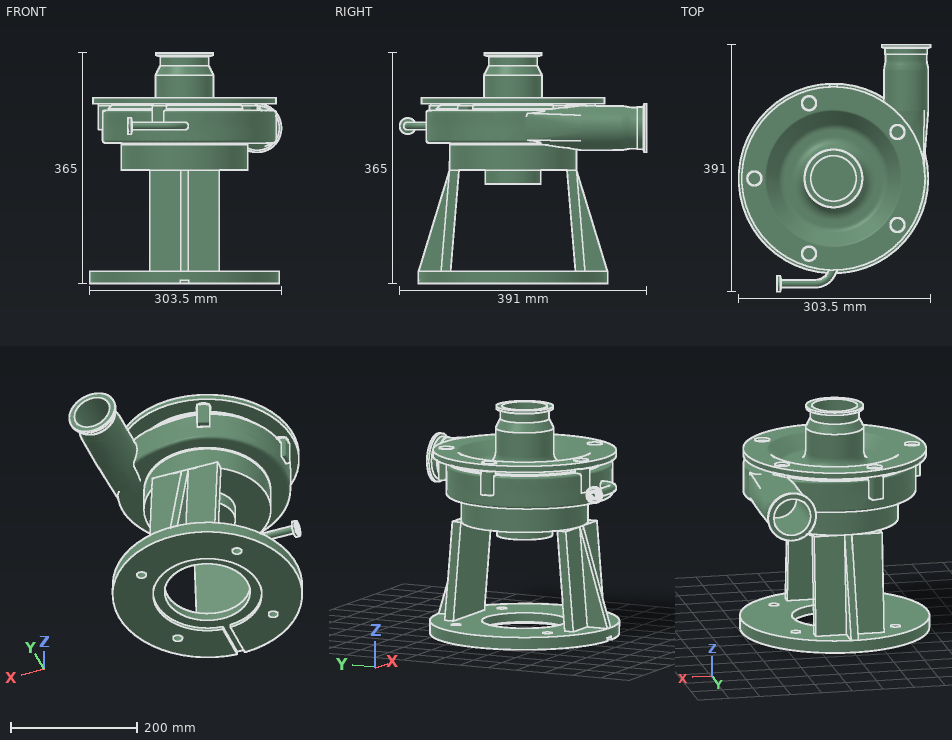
import cadquery as cq
import math

BASE_RADIUS = 150.0
BASE_THICKNESS = 20.0
BASE_BORE_RADIUS = 67.5
BASE_HOLE_RADIUS = 7.5
BASE_HOLE_CIRCLE_RADIUS = 114.0
BASE_HOLE_COUNT = 4
BASE_HOLE_START_ANGLE = 45
SLOT_WIDTH = 13.0
BASE_RECESS_RADIUS = 86.0
BASE_RECESS_DEPTH = 5.5

LEG_TOP_Z = 179.7
LEG_WIDTH = 110.0
LEG_THICKNESS = 15.2
LEG_OUTER_TOP_Y = 100.5
LEG_OUTER_BOTTOM_Y = 113.5
RIB_THICKNESS = 11.7
RIB_FOOT_Y = 149.2

DRUM_RADIUS = LEG_OUTER_TOP_Y
DRUM_TOP_Z = 219.5
NECK_RADIUS = 99.5
BOSS_RADIUS = 44.0
BOSS_BOTTOM_Z = 157.5

CASING_BOTTOM_Z = 222.5
CASING_TOP_Z = 274.0
CASING_START_RADIUS = 122.0
CASING_END_RADIUS = 145.0
CASING_START_ANGLE = 90
CASING_END_ANGLE = 360
CASING_TOP_FILLET = 3.5
CASING_BOTTOM_FILLET = 4.5
SPIRAL_SPANS = 12

SHOULDER_RADIUS = 121.0
SHOULDER_STEP_Z = 276.2
SHOULDER_CONE_TOP_RADIUS = 115.3
SHOULDER_CONE_TOP_Z = 282.0

COVER_RADIUS = 145.0
COVER_BOTTOM_Z = 284.5
COVER_THICKNESS = 9.8
COVER_TOP_Z = COVER_BOTTOM_Z + COVER_THICKNESS
DISH_RIM_FILLET = 4.3
DISH_FLOOR_FILLET = 13.5
DISH_RIM_RADIUS = 109.0
DISH_FLOOR_RADIUS = 77.0
DISH_FLOOR_Z = 270.0
HUB_FILLET = 20.0

BOLT_COUNT = 5
BOLT_CIRCLE_RADIUS = 125.0
BOLT_START_ANGLE = 180
BOLT_RECESS_RADIUS = 11.7
BOLT_RECESS_FLOOR_RADIUS = 10.5
BOLT_RECESS_DEPTH = 4.0
SPACER_RADIUS = 11.5
LUG_WIDTH = 20.0
LUG_OUTER_RADIUS = 136.5
LUG_BOTTOM_Z = 243.0
LUG_TOP_Z = 281.5
LUG_FILLET = 2.0

INLET_RADIUS = 46.0
INLET_NECK_RADIUS = 38.5
INLET_TAPER_BOTTOM_Z = 329.8
INLET_TAPER_TOP_Z = 344.5
INLET_END_Z = 365.0
INLET_FLANGE_RADIUS = 45.5
INLET_BORE_RADIUS = 36.0
INLET_BORE_STRAIGHT = 38.5
INLET_WIDE_BORE_RADIUS = 43.8
INLET_WIDE_BORE_Z = 306.7
FLANGE_RIM = 4.0
FLANGE_BEVEL = 2.0

OUTLET_X = 115.0
OUTLET_Z = 246.0
OUTLET_RADIUS = 35.0
OUTLET_NECK_RADIUS = 33.0
OUTLET_COLLAR_RADIUS = 33.5
OUTLET_FLANGE_RADIUS = 38.5
OUTLET_BORE_RADIUS = 29.5
OUTLET_START_Y = 106.5
THROAT_OUTER_X = 141.5
OUTLET_TAPER_START_Y = 171.0
OUTLET_TAPER_END_Y = 187.5
OUTLET_COLLAR_Y = 196.0
OUTLET_END_Y = 211.5

DRAIN_RADIUS = 6.3
DRAIN_BORE_RADIUS = 4.5
DRAIN_Y = -166.5
DRAIN_Z = 249.3
DRAIN_BEND_RADIUS = 29.0
DRAIN_ROOT_Y = -131.0
DRAIN_END_X = -89.5
DRAIN_FLANGE_RADIUS = 13.0
DRAIN_FLANGE_RIM = 5.5
DRAIN_FLANGE_BEVEL = 1.5
DRAIN_GROOVE_INNER_RADIUS = 7.5
DRAIN_GROOVE_OUTER_RADIUS = 11.0
DRAIN_GROOVE_DEPTH = 1.5


def disc(radius, bottom_z, top_z):
    return cq.Workplane("XY").workplane(offset=bottom_z).circle(radius).extrude(top_z - bottom_z)


def arc_point(centre, radius, degrees):
    """Point on an arc, with the angle measured from the horizontal axis."""
    angle = math.radians(degrees)
    return centre[0] + radius * math.cos(angle), centre[1] + radius * math.sin(angle)


def make_base():
    base = disc(BASE_RADIUS, 0, BASE_THICKNESS).faces(">Z").workplane().hole(2 * BASE_BORE_RADIUS)
    base = (
        base.faces(">Z")
        .workplane()
        .polarArray(BASE_HOLE_CIRCLE_RADIUS, BASE_HOLE_START_ANGLE, 360, BASE_HOLE_COUNT)
        .hole(2 * BASE_HOLE_RADIUS)
    )
    recess = disc(BASE_RECESS_RADIUS, 0, BASE_RECESS_DEPTH)
    slot = cq.Workplane("XY").box(SLOT_WIDTH, BASE_RADIUS, BASE_RECESS_DEPTH, centered=(True, False, False))
    return base.cut(recess).cut(slot.translate((0, -BASE_RADIUS, 0)))


def leaning_wall(foot_y, width):
    """Wall on the +Y side, with its outer foot at foot_y and a sloping inner face."""
    return (
        cq.Workplane("YZ")
        .polyline([
            (LEG_OUTER_BOTTOM_Y - LEG_THICKNESS, BASE_THICKNESS),
            (foot_y, BASE_THICKNESS),
            (LEG_OUTER_TOP_Y, LEG_TOP_Z),
            (LEG_OUTER_TOP_Y - LEG_THICKNESS, LEG_TOP_Z),
        ])
        .close()
        .extrude(width / 2, both=True)
    )


def make_drum():
    drum = disc(DRUM_RADIUS, LEG_TOP_Z, DRUM_TOP_Z)
    neck = disc(NECK_RADIUS, DRUM_TOP_Z, CASING_BOTTOM_Z)
    boss = disc(BOSS_RADIUS, BOSS_BOTTOM_Z, LEG_TOP_Z)
    return drum.union(neck).union(boss)


def spiral_point(fraction):
    """Point on the casing wall, whose radius grows evenly with the angle."""
    angle = CASING_START_ANGLE + fraction * (CASING_END_ANGLE - CASING_START_ANGLE)
    radius = CASING_START_RADIUS + fraction * (CASING_END_RADIUS - CASING_START_RADIUS)
    return arc_point((0, 0), radius, angle)


def make_casing():
    wall_points = [spiral_point(i / SPIRAL_SPANS) for i in range(SPIRAL_SPANS + 1)]
    closing_radius = (CASING_START_RADIUS + CASING_END_RADIUS) / 2
    closing_point = arc_point((0, 0), closing_radius, CASING_START_ANGLE / 2)
    return (
        cq.Workplane("XY")
        .workplane(offset=CASING_BOTTOM_Z)
        .spline(wall_points + [closing_point], periodic=True)
        .close()
        .extrude(CASING_TOP_Z - CASING_BOTTOM_Z)
        .edges(">Z")
        .fillet(CASING_TOP_FILLET)
        .edges("<Z")
        .fillet(CASING_BOTTOM_FILLET)
    )


def make_shoulder():
    return (
        cq.Workplane("XZ")
        .polyline([
            (0, CASING_TOP_Z),
            (SHOULDER_RADIUS, CASING_TOP_Z),
            (SHOULDER_RADIUS, SHOULDER_STEP_Z),
            (SHOULDER_CONE_TOP_RADIUS, SHOULDER_CONE_TOP_Z),
            (SHOULDER_CONE_TOP_RADIUS, COVER_BOTTOM_Z),
            (0, COVER_BOTTOM_Z),
        ])
        .close()
        .revolve(360, (0, 0), (0, 1))
    )


def make_dish_cut():
    """Ring-shaped hollow: 45 degree outer wall, flat floor and a flared inner wall."""
    hub_centre = (INLET_RADIUS + HUB_FILLET, DISH_FLOOR_Z + HUB_FILLET)
    floor_centre = (DISH_FLOOR_RADIUS, DISH_FLOOR_Z + DISH_FLOOR_FILLET)
    rim_centre = (DISH_RIM_RADIUS, COVER_TOP_Z - DISH_RIM_FILLET)
    return (
        cq.Workplane("XZ")
        .moveTo(INLET_RADIUS, COVER_TOP_Z)
        .lineTo(*arc_point(hub_centre, HUB_FILLET, 180))
        .threePointArc(arc_point(hub_centre, HUB_FILLET, 225), arc_point(hub_centre, HUB_FILLET, 270))
        .lineTo(*arc_point(floor_centre, DISH_FLOOR_FILLET, 270))
        .threePointArc(
            arc_point(floor_centre, DISH_FLOOR_FILLET, 292.5),
            arc_point(floor_centre, DISH_FLOOR_FILLET, 315),
        )
        .lineTo(*arc_point(rim_centre, DISH_RIM_FILLET, 135))
        .threePointArc(
            arc_point(rim_centre, DISH_RIM_FILLET, 112.5),
            arc_point(rim_centre, DISH_RIM_FILLET, 90),
        )
        .close()
        .revolve(360, (0, 0), (0, 1))
    )


def at_bolts(shape):
    """Copies of a shape built on the +X side, turned to every bolt."""
    copies = cq.Workplane("XY")
    for i in range(BOLT_COUNT):
        angle = BOLT_START_ANGLE + i * 360 / BOLT_COUNT
        copies = copies.union(shape.rotate((0, 0, 0), (0, 0, 1), angle))
    return copies


def make_lug():
    """Square outer block backed by a round bolt boss, with a spacer under the cover."""
    lug = (
        cq.Workplane("XY")
        .workplane(offset=LUG_BOTTOM_Z)
        .center((BOLT_CIRCLE_RADIUS + LUG_OUTER_RADIUS) / 2, 0)
        .rect(LUG_OUTER_RADIUS - BOLT_CIRCLE_RADIUS, LUG_WIDTH)
        .extrude(LUG_TOP_Z - LUG_BOTTOM_Z)
        .edges("(|Z and >X) or <Z")
        .fillet(LUG_FILLET)
    )
    boss = disc(LUG_WIDTH / 2, LUG_BOTTOM_Z + LUG_FILLET, LUG_TOP_Z)
    spacer = disc(SPACER_RADIUS, LUG_TOP_Z, COVER_BOTTOM_Z)
    return lug.union(boss.union(spacer).translate((BOLT_CIRCLE_RADIUS, 0, 0)))


def make_bolt_recess():
    """Shallow round recess that narrows towards its floor."""
    return (
        cq.Workplane("XY", origin=(BOLT_CIRCLE_RADIUS, 0, COVER_TOP_Z))
        .circle(BOLT_RECESS_RADIUS)
        .workplane(offset=-BOLT_RECESS_DEPTH)
        .circle(BOLT_RECESS_FLOOR_RADIUS)
        .loft()
    )


def make_inlet():
    flange_bottom_z = INLET_END_Z - FLANGE_RIM
    return (
        cq.Workplane("XZ")
        .polyline([
            (0, DISH_FLOOR_Z),
            (INLET_RADIUS, DISH_FLOOR_Z),
            (INLET_RADIUS, INLET_TAPER_BOTTOM_Z),
            (INLET_NECK_RADIUS, INLET_TAPER_TOP_Z),
            (INLET_NECK_RADIUS, flange_bottom_z - FLANGE_BEVEL),
            (INLET_FLANGE_RADIUS, flange_bottom_z),
            (INLET_FLANGE_RADIUS, INLET_END_Z),
            (0, INLET_END_Z),
        ])
        .close()
        .revolve(360, (0, 0), (0, 1))
    )


def make_inlet_bore():
    return (
        cq.Workplane("XZ")
        .polyline([
            (0, DISH_FLOOR_Z),
            (INLET_WIDE_BORE_RADIUS, DISH_FLOOR_Z),
            (INLET_WIDE_BORE_RADIUS, INLET_WIDE_BORE_Z),
            (INLET_BORE_RADIUS, INLET_END_Z - INLET_BORE_STRAIGHT),
            (INLET_BORE_RADIUS, INLET_END_Z),
            (0, INLET_END_Z),
        ])
        .close()
        .revolve(360, (0, 0), (0, 1))
    )


def make_outlet():
    flange_back_y = OUTLET_END_Y - FLANGE_RIM
    taper_middle = (
        (OUTLET_RADIUS + OUTLET_NECK_RADIUS) / 2,
        (OUTLET_TAPER_START_Y + OUTLET_TAPER_END_Y) / 2,
    )
    pipe = (
        cq.Workplane("XY")
        .moveTo(0, OUTLET_START_Y)
        .lineTo(OUTLET_RADIUS, OUTLET_START_Y)
        .lineTo(OUTLET_RADIUS, OUTLET_TAPER_START_Y)
        .tangentArcPoint(taper_middle, relative=False)
        .tangentArcPoint((OUTLET_NECK_RADIUS, OUTLET_TAPER_END_Y), relative=False)
        .lineTo(OUTLET_NECK_RADIUS, OUTLET_COLLAR_Y)
        .lineTo(OUTLET_COLLAR_RADIUS, OUTLET_COLLAR_Y)
        .lineTo(OUTLET_COLLAR_RADIUS, flange_back_y - FLANGE_BEVEL)
        .lineTo(OUTLET_FLANGE_RADIUS, flange_back_y)
        .lineTo(OUTLET_FLANGE_RADIUS, OUTLET_END_Y)
        .lineTo(0, OUTLET_END_Y)
        .close()
        .revolve(360, (0, 0), (0, 1))
        .translate((OUTLET_X, 0, OUTLET_Z))
    )
    throat_width = THROAT_OUTER_X - (OUTLET_X - OUTLET_RADIUS)
    throat_bottom_z = CASING_BOTTOM_Z + CASING_BOTTOM_FILLET
    throat_top_z = CASING_TOP_Z - CASING_TOP_FILLET
    throat_x = THROAT_OUTER_X - throat_width / 2
    throat_z = (throat_bottom_z + throat_top_z) / 2
    throat = (
        cq.Workplane("XZ", origin=(OUTLET_X, 0, OUTLET_Z))
        .center(throat_x - OUTLET_X, throat_z - OUTLET_Z)
        .rect(throat_width, throat_top_z - throat_bottom_z)
        .workplane(offset=-OUTLET_START_Y)
        .center(OUTLET_X - throat_x, OUTLET_Z - throat_z)
        .circle(OUTLET_RADIUS)
        .loft()
    )
    return pipe.union(throat)


def make_outlet_bore():
    return (
        cq.Workplane("XZ", origin=(OUTLET_X, OUTLET_START_Y, OUTLET_Z))
        .circle(OUTLET_BORE_RADIUS)
        .extrude(OUTLET_START_Y - OUTLET_END_Y)
    )


def drain_run(radius):
    """Round bar along the drain: straight, quarter bend, then into the casing."""
    bend_centre = (-DRAIN_BEND_RADIUS, DRAIN_Y + DRAIN_BEND_RADIUS)
    path = (
        cq.Workplane("XY", origin=(0, 0, DRAIN_Z))
        .moveTo(DRAIN_END_X, DRAIN_Y)
        .lineTo(-DRAIN_BEND_RADIUS, DRAIN_Y)
        .threePointArc(
            arc_point(bend_centre, DRAIN_BEND_RADIUS, 315),
            arc_point(bend_centre, DRAIN_BEND_RADIUS, 360),
        )
        .lineTo(0, DRAIN_ROOT_Y)
    )
    return cq.Workplane("YZ", origin=(DRAIN_END_X, DRAIN_Y, DRAIN_Z)).circle(radius).sweep(path)


def make_drain_flange():
    """Small flange with a gasket groove in its face."""
    return (
        cq.Workplane("XY")
        .polyline([
            (0, 0),
            (0, DRAIN_GROOVE_INNER_RADIUS),
            (DRAIN_GROOVE_DEPTH, DRAIN_GROOVE_INNER_RADIUS),
            (DRAIN_GROOVE_DEPTH, DRAIN_GROOVE_OUTER_RADIUS),
            (0, DRAIN_GROOVE_OUTER_RADIUS),
            (0, DRAIN_FLANGE_RADIUS),
            (DRAIN_FLANGE_RIM, DRAIN_FLANGE_RADIUS),
            (DRAIN_FLANGE_RIM + DRAIN_FLANGE_BEVEL, DRAIN_RADIUS),
            (DRAIN_FLANGE_RIM + DRAIN_FLANGE_BEVEL, 0),
        ])
        .close()
        .revolve(360, (0, 0), (1, 0))
        .translate((DRAIN_END_X, DRAIN_Y, DRAIN_Z))
    )


leg = leaning_wall(LEG_OUTER_BOTTOM_Y, LEG_WIDTH).union(leaning_wall(RIB_FOOT_Y, RIB_THICKNESS))
stand = make_base().union(leg).union(leg.mirror("XZ")).union(make_drum())

casing = make_casing().union(make_shoulder()).union(make_outlet()).union(at_bolts(make_lug()))
casing = casing.union(drain_run(DRAIN_RADIUS)).union(make_drain_flange())

cover = disc(COVER_RADIUS, COVER_BOTTOM_Z, COVER_TOP_Z)

result = stand.union(casing).union(cover).cut(make_dish_cut()).union(make_inlet())
result = result.cut(make_inlet_bore()).cut(make_outlet_bore())
result = result.cut(drain_run(DRAIN_BORE_RADIUS)).cut(at_bolts(make_bolt_recess()))